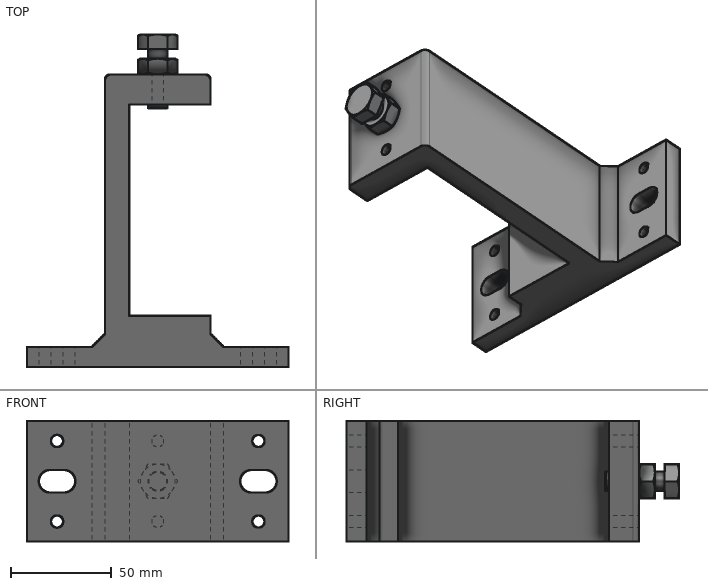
import cadquery as cq
import math

height = 60.0
plate_width = 130.0
plate_thickness = 10.1
arm_width = 52.6
web_thickness = 12.2
foot_top = 25.6
foot_chamfer = 6.5
jaw_opening = 104.9
flange_thickness = 15.0
flange_radius = 3.0

hole_diameter = 6.0
hole_spacing_x = 100.0
hole_spacing_z = 40.0
slot_length = 18.0
slot_width = 11.0

total_depth = 165.4
shank_diameter = 10.0
across_flats = 17.0
head_thickness = 7.3
nut_thickness = 7.8
tip_projection = 2.0
tip_chamfer = 0.5
hex_chamfer_angle = math.radians(30)

half_plate = plate_width / 2
half_arm = arm_width / 2
flange_bottom = foot_top + jaw_opening
flange_top = flange_bottom + flange_thickness
across_corners = across_flats / math.cos(math.pi / 6)


def workplane_at(y):
    """XZ plane at the given Y, with its normal toward +Y."""
    return cq.Workplane(cq.Plane(origin=(0, y, 0), xDir=(1, 0, 0), normal=(0, 1, 0)))


def bracket_body():
    chamfer_top = plate_thickness + foot_chamfer
    chamfer_x = half_arm + foot_chamfer
    web_inner_x = web_thickness - half_arm
    outline = [
        (-half_plate, 0),
        (half_plate, 0),
        (half_plate, plate_thickness),
        (chamfer_x, plate_thickness),
        (half_arm, chamfer_top),
        (half_arm, foot_top),
        (web_inner_x, foot_top),
        (web_inner_x, flange_bottom),
        (half_arm, flange_bottom),
        (half_arm, flange_top),
        (-half_arm, flange_top),
        (-half_arm, chamfer_top),
        (-chamfer_x, plate_thickness),
        (-half_plate, plate_thickness),
    ]
    body = cq.Workplane("XY").polyline(outline).close().extrude(height / 2, both=True)
    return body.faces(">Y").edges("|Z").fillet(flange_radius)


def plate_cutters():
    plane = workplane_at(0)
    holes = (
        plane.rarray(hole_spacing_x, hole_spacing_z, 2, 2)
        .circle(hole_diameter / 2)
        .extrude(plate_thickness)
    )
    slots = (
        plane.rarray(hole_spacing_x, 1.7, 2, 1)
        .slot2D(slot_length, slot_width)
        .extrude(plate_thickness)
    )
    return holes.union(slots)


def flange_cutters():
    return (
        workplane_at(flange_bottom)
        .rarray(1.7, hole_spacing_z, 1, 2)
        .circle(hole_diameter / 2)
        .extrude(flange_thickness)
    )


def hex_block(bottom, thickness, chamfer_bottom):
    """Hexagonal prism along Y, its corners trimmed by a cone at the top and optionally the bottom."""
    top = bottom + thickness
    prism = workplane_at(bottom).polygon(6, across_corners).extrude(thickness)
    inner_radius = across_flats / 2
    outer_radius = across_corners / 2
    chamfer_drop = (outer_radius - inner_radius) * math.tan(hex_chamfer_angle)
    profile = cq.Workplane("XY").moveTo(0, bottom)
    if chamfer_bottom:
        profile = profile.lineTo(inner_radius, bottom).lineTo(outer_radius, bottom + chamfer_drop)
    else:
        profile = profile.lineTo(outer_radius, bottom)
    envelope = (
        profile.lineTo(outer_radius, top - chamfer_drop)
        .lineTo(inner_radius, top)
        .lineTo(0, top)
        .close()
        .revolve(360, (0, 0, 0), (0, 1, 0))
    )
    return prism.intersect(envelope)


def clamping_bolt():
    head_bottom = total_depth - head_thickness
    tip = flange_bottom - tip_projection
    shank = workplane_at(tip).circle(shank_diameter / 2).extrude(head_bottom - tip)
    shank = shank.faces("<Y").chamfer(tip_chamfer)
    head = hex_block(head_bottom, head_thickness, chamfer_bottom=False)
    nut = hex_block(flange_top, nut_thickness, chamfer_bottom=True)
    return shank.union(head).union(nut)


bracket = bracket_body().cut(plate_cutters()).cut(flange_cutters())
result = bracket.union(clamping_bolt())